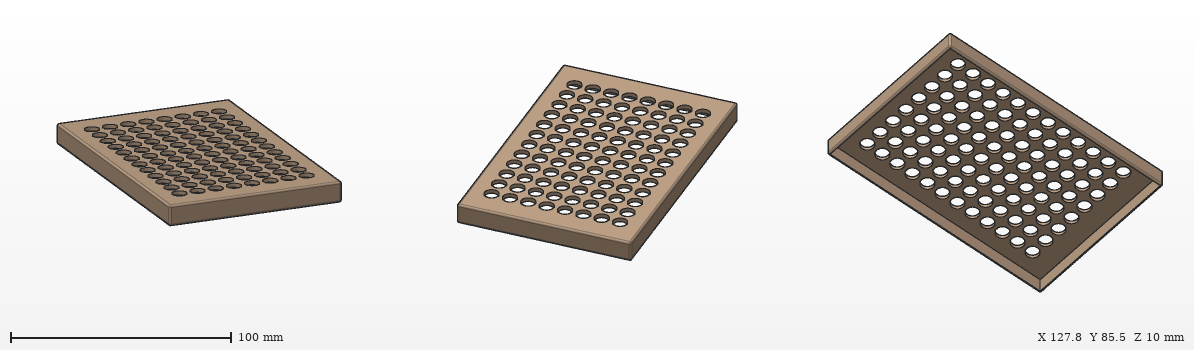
import cadquery as cq

wall_thickness = 1.0
top_thickness = 2 * wall_thickness

length = 127.8
width = 85.5
height = 10 * wall_thickness
edge_radius = wall_thickness

hole_diameter = 6.9
columns = 12
rows = 8
column_span = 99.0
hole_pitch = column_span / (columns - 1)


def outer_body():
    """Rectangular block, centred in X and Y, with all its edges rounded."""
    block = cq.Workplane("XY").box(length, width, height, centered=(True, True, False))
    return block.edges().fillet(edge_radius)


def underside_cavity():
    """Pocket open at the bottom that leaves the perforated top and the side walls."""
    return cq.Workplane("XY").box(
        length - 2 * wall_thickness,
        width - 2 * wall_thickness,
        height - top_thickness,
        centered=(True, True, False),
    )


def hole_grid():
    """Cylinders for the round holes through the top."""
    return (
        cq.Workplane("XY")
        .rarray(hole_pitch, hole_pitch, columns, rows)
        .circle(hole_diameter / 2)
        .extrude(height)
    )


result = outer_body().cut(underside_cavity()).cut(hole_grid())